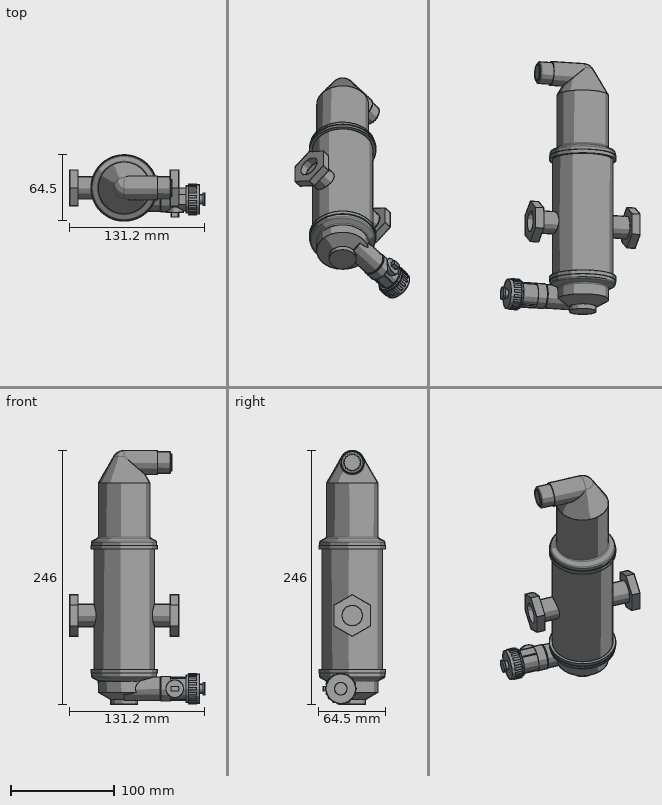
import cadquery as cq
import math

SHELL_DIAMETER = 58.8
SHELL_RADIUS = SHELL_DIAMETER / 2
NECK_DIAMETER = 50.2
NECK_RADIUS = NECK_DIAMETER / 2
FLANGE_DIAMETER = 64.5
FLANGE_RADIUS = FLANGE_DIAMETER / 2
LIP_DIAMETER = 63.0
LIP_RADIUS = LIP_DIAMETER / 2
DRAIN_BOSS_DIAMETER = 26.0
DRAIN_BOSS_RADIUS = DRAIN_BOSS_DIAMETER / 2
DRAIN_BOSS_HEIGHT = 4.7
BOTTOM_CONE_TOP = 11.8
CONE_ANGLE = math.radians(30)
FLANGE_FACES = {"lower": 34.0, "upper": 150.3}

FLANGE_THICKNESS = 3.7
LIP_END = 6.6
LIP_ROUND = 1.7
FLANGE_SLOPE = math.radians(27)
NECK_ROUND = 1.5

VENT_PIPE_DIAMETER = 23.4
VENT_PIPE_RADIUS = VENT_PIPE_DIAMETER / 2
TOTAL_HEIGHT = 246
VENT_AXIS_Z = TOTAL_HEIGHT - VENT_PIPE_RADIUS
VENT_PIPE_END = 32.2
DRAIN_PIPE_DIAMETER = 23.1
VALVE_AXIS_Y = -11.0
VALVE_AXIS_Z = 15.3
DRAIN_PIPE_END = 35.0

PORT_Z = 86.0
PORT_DIAMETER = 22.0
PORT_BORE_DIAMETER = 19.7
PORT_FACE = 53.0
HEX_ACROSS_FLATS = 35.0
HEX_HALF_SIDE_ANGLE = 30
HEX_THICKNESS = 8.4

VENT_DIAMETER = 21.2
VENT_SHOULDER = 44.8
VENT_ROUND = 0.7
VENT_TIP_END = 46.2
VENT_TIP_DIAMETER = 15.3
VENT_RIB_REACH = 16.7
VENT_RIB_DIAMETER = 2.0
RIB_COUNT = 18

VALVE_DIAMETER = 24.0
VALVE_SLEEVE_START = 35.7
VALVE_SLEEVE_END = 44.8
COLLAR_START = 60.0
KNOB_START = 62.2
RIB_END = 69.9
KNOB_END = 73.0
STEM_END = 76.3
VALVE_TIP = 78.2
SPIGOT_DIAMETER = 21.0
VALVE_BAR_DIAMETER = 22.5
BAR_PAD_WIDTH = 9.5
BAR_PAD_HEIGHT = 22.6
COLLAR_DIAMETER = 26.5
KNOB_DIAMETER = 28.5
KNOB_RIB_DIAMETER = 3.0
KNOB_RIB_REACH = 30.0
STEM_DIAMETER = 9.0
BUTTON_DIAMETER = 12.0

SPINDLE_X = 49.0
SPINDLE_DIAMETER = 17.0
SPINDLE_LENGTH = 12.5
TAB_DIAMETER = 8.0
TAB_RADIUS = TAB_DIAMETER / 2
TAB_BACK = 3.5
TAB_HEIGHT = 4.5
TAB_END = 17.2


def rod(start, end, diameter, y=0, z=0):
    """Cylinder along X between two stations."""
    return cq.Workplane("YZ", origin=(start, y, z)).circle(diameter / 2).extrude(end - start)


def rib_ring(start, end, diameter, reach, y, z):
    """Round ribs along X whose outermost lines lie on a circle of the diameter `reach`."""
    return (
        cq.Workplane("YZ", origin=(start, y, z))
        .polarArray((reach - diameter) / 2, 0, 360, RIB_COUNT)
        .circle(diameter / 2)
        .extrude(end - start)
    )


def flange(face_z, direction):
    """Flange that starts at face_z and narrows to the neck in the given Z direction.

    A cone, rounded at both ends, joins the lip to the neck.
    """
    lip_centre = LIP_RADIUS - LIP_ROUND
    cone_start = lip_centre + LIP_ROUND * math.sin(FLANGE_SLOPE)
    cone_start_z = LIP_END + LIP_ROUND * math.cos(FLANGE_SLOPE)
    cone_end = NECK_RADIUS + NECK_ROUND * (1 - math.sin(FLANGE_SLOPE))
    cone_end_z = cone_start_z + (cone_start - cone_end) * math.tan(FLANGE_SLOPE)
    neck_z = cone_end_z + NECK_ROUND * math.cos(FLANGE_SLOPE)
    blank = (
        cq.Workplane("XZ")
        .moveTo(0, 0)
        .lineTo(FLANGE_RADIUS, 0)
        .lineTo(FLANGE_RADIUS, FLANGE_THICKNESS)
        .lineTo(LIP_RADIUS, FLANGE_THICKNESS)
        .lineTo(LIP_RADIUS, LIP_END)
        .radiusArc((cone_start, cone_start_z), -LIP_ROUND)
        .lineTo(cone_end, cone_end_z)
        .radiusArc((NECK_RADIUS, neck_z), NECK_ROUND)
        .lineTo(0, neck_z)
        .close()
        .revolve(360, (0, 0, 0), (0, 1, 0))
    )
    if direction < 0:
        blank = blank.mirror("XY")
    return blank.translate((0, 0, face_z))


def turned_shell():
    """Shell with its bottom cone and the top cone that is tangent to the round end of the vent pipe."""
    tangent_radius = VENT_PIPE_RADIUS * math.cos(CONE_ANGLE)
    tangent_z = VENT_AXIS_Z + VENT_PIPE_RADIUS * math.sin(CONE_ANGLE)
    top_cone_base = tangent_z - (NECK_RADIUS - tangent_radius) / math.tan(CONE_ANGLE)
    profile = (
        cq.Workplane("XZ")
        .lineTo(DRAIN_BOSS_RADIUS, 0)
        .lineTo(DRAIN_BOSS_RADIUS, DRAIN_BOSS_HEIGHT)
        .lineTo(NECK_RADIUS, BOTTOM_CONE_TOP)
        .lineTo(NECK_RADIUS, FLANGE_FACES["lower"])
        .lineTo(SHELL_RADIUS, FLANGE_FACES["lower"])
        .lineTo(SHELL_RADIUS, FLANGE_FACES["upper"])
        .lineTo(NECK_RADIUS, FLANGE_FACES["upper"])
        .lineTo(NECK_RADIUS, top_cone_base)
        .lineTo(tangent_radius, tangent_z)
        .radiusArc((0, TOTAL_HEIGHT), -VENT_PIPE_RADIUS)
        .close()
    )
    return profile.revolve(360, (0, 0, 0), (0, 1, 0))


def side_port():
    """Port on the -X side: a pipe stub and a bored hexagon."""
    stub = rod(-PORT_FACE + HEX_THICKNESS, 0, PORT_DIAMETER, z=PORT_Z)
    hexagon = (
        cq.Workplane("YZ", origin=(-PORT_FACE, 0, PORT_Z))
        .polygon(6, HEX_ACROSS_FLATS / math.cos(math.radians(HEX_HALF_SIDE_ANGLE)))
        .extrude(HEX_THICKNESS)
        .rotate((0, 0, PORT_Z), (1, 0, PORT_Z), HEX_HALF_SIDE_ANGLE)
    )
    bore = rod(-PORT_FACE, -PORT_FACE + HEX_THICKNESS, PORT_BORE_DIAMETER, z=PORT_Z)
    return hexagon.cut(bore).union(stub)


def make_housing():
    port = side_port()
    return (
        turned_shell()
        .union(flange(FLANGE_FACES["lower"], -1))
        .union(flange(FLANGE_FACES["upper"], 1))
        .union(rod(0, VENT_PIPE_END, VENT_PIPE_DIAMETER, z=VENT_AXIS_Z))
        .union(rod(0, DRAIN_PIPE_END, DRAIN_PIPE_DIAMETER, VALVE_AXIS_Y, VALVE_AXIS_Z))
        .union(port)
        .union(port.mirror("YZ"))
    )


def make_vent_fitting():
    barrel = rod(VENT_PIPE_END, VENT_SHOULDER, VENT_DIAMETER, z=VENT_AXIS_Z)
    barrel = barrel.faces(">X").edges().fillet(VENT_ROUND)
    tip_core = rod(VENT_SHOULDER, VENT_TIP_END, VENT_TIP_DIAMETER, z=VENT_AXIS_Z)
    ribs = rib_ring(VENT_SHOULDER, VENT_TIP_END, VENT_RIB_DIAMETER, VENT_RIB_REACH, 0, VENT_AXIS_Z)
    return barrel.union(tip_core).union(ribs)


def valve_rod(start, end, diameter):
    return rod(start, end, diameter, VALVE_AXIS_Y, VALVE_AXIS_Z)


def valve_barrel():
    """Sleeve on a short spigot, followed by a thinner bar with a flat pad above and below."""
    spigot = valve_rod(DRAIN_PIPE_END, VALVE_SLEEVE_START, SPIGOT_DIAMETER)
    sleeve = valve_rod(VALVE_SLEEVE_START, VALVE_SLEEVE_END, VALVE_DIAMETER)
    bar = valve_rod(VALVE_SLEEVE_END, COLLAR_START, VALVE_BAR_DIAMETER)
    pads = (
        cq.Workplane("YZ", origin=(VALVE_SLEEVE_END, VALVE_AXIS_Y, VALVE_AXIS_Z))
        .rect(BAR_PAD_WIDTH, BAR_PAD_HEIGHT)
        .extrude(COLLAR_START - VALVE_SLEEVE_END)
    )
    return spigot.union(sleeve).union(bar).union(pads)


def valve_knob():
    """Ribbed knob with its collar, stem and end button."""
    return (
        valve_rod(COLLAR_START, KNOB_START, COLLAR_DIAMETER)
        .union(valve_rod(KNOB_START, KNOB_END, KNOB_DIAMETER))
        .union(rib_ring(KNOB_START, RIB_END, KNOB_RIB_DIAMETER, KNOB_RIB_REACH, VALVE_AXIS_Y, VALVE_AXIS_Z))
        .union(valve_rod(KNOB_END, STEM_END, STEM_DIAMETER))
        .union(valve_rod(STEM_END, VALVE_TIP, BUTTON_DIAMETER))
    )


def valve_spindle():
    """Round spindle towards -Y with a flattened tab on its end."""
    base = cq.Workplane("XZ", origin=(SPINDLE_X, VALVE_AXIS_Y, VALVE_AXIS_Z))
    tab_width = TAB_BACK + TAB_RADIUS
    flats = base.center(tab_width / 2 - TAB_BACK, 0).rect(tab_width, TAB_HEIGHT).extrude(TAB_END)
    tab = base.circle(TAB_RADIUS).extrude(TAB_END).intersect(flats)
    return base.circle(SPINDLE_DIAMETER / 2).extrude(SPINDLE_LENGTH).union(tab)


def make_drain_valve():
    return valve_barrel().union(valve_knob()).union(valve_spindle())


housing = make_housing()
vent_fitting = make_vent_fitting()
drain_valve = make_drain_valve()

result = cq.Compound.makeCompound([housing.val(), vent_fitting.val(), drain_valve.val()])